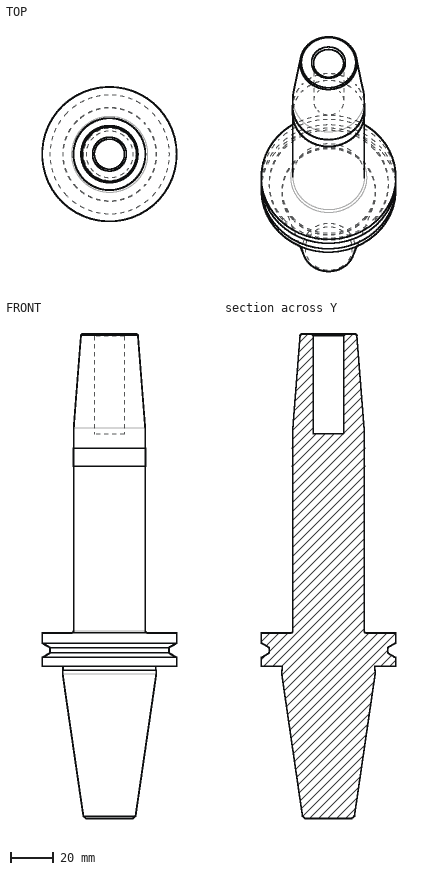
import cadquery as cq
import math

total_height = 228.5

shank_top_radius = 22.2
shank_length = 68.3
taper_on_radius = 7 / 48
shank_end_radius = shank_top_radius - shank_length * taper_on_radius
shank_end_chamfer = 1.1

neck_bottom = 70.0
neck_radius = 22.0

flange_radius = 31.7
flange_bottom = 71.7
flange_height = 15.8
flange_top = flange_bottom + flange_height
groove_root_radius = 28.0
groove_root_width = 2.5
groove_center = 79.3
groove_flank_angle = 30
groove_flank_rise = (flange_radius - groove_root_radius) * math.tan(math.radians(groove_flank_angle))
groove_root_bottom = groove_center - groove_root_width / 2
groove_root_top = groove_center + groove_root_width / 2

body_radius = 17.0
body_fillet = 1.03
body_top = 184.0
nose_radius = 13.5
nose_chamfer = 0.7

band_bottom = 166.0
band_top = 174.5
band_height = 0.11
band_radius = body_radius + band_height

bore_radius = 7.0
bore_depth = 47.0
bore_chamfer = 1.0


def make_holder():
    """Revolve the outer half profile around Z."""
    profile = (
        cq.Workplane("XZ")
        .lineTo(shank_end_radius - shank_end_chamfer, 0)
        .lineTo(shank_end_radius + shank_end_chamfer * taper_on_radius, shank_end_chamfer)
        .lineTo(shank_top_radius, shank_length)
        .lineTo(shank_top_radius, neck_bottom)
        .lineTo(neck_radius, neck_bottom)
        .lineTo(neck_radius, flange_bottom)
        .lineTo(flange_radius, flange_bottom)
        .lineTo(flange_radius, groove_root_bottom - groove_flank_rise)
        .lineTo(groove_root_radius, groove_root_bottom)
        .lineTo(groove_root_radius, groove_root_top)
        .lineTo(flange_radius, groove_root_top + groove_flank_rise)
        .lineTo(flange_radius, flange_top)
        .lineTo(body_radius + body_fillet, flange_top)
        .radiusArc((body_radius, flange_top + body_fillet), body_fillet)
        .lineTo(body_radius, band_bottom)
        .lineTo(band_radius, band_bottom)
        .lineTo(band_radius, band_top)
        .lineTo(body_radius, band_top)
        .lineTo(body_radius, body_top)
        .lineTo(nose_radius, total_height - nose_chamfer)
        .lineTo(nose_radius - nose_chamfer, total_height)
        .lineTo(0, total_height)
        .close()
    )
    return profile.revolve(360, (0, 0, 0), (0, 1, 0))


def make_bore():
    """Solid of the blind bore with its chamfered mouth."""
    bore_profile = (
        cq.Workplane("XZ")
        .moveTo(0, total_height - bore_depth)
        .lineTo(bore_radius, total_height - bore_depth)
        .lineTo(bore_radius, total_height - bore_chamfer)
        .lineTo(bore_radius + bore_chamfer, total_height)
        .lineTo(0, total_height)
        .close()
    )
    return bore_profile.revolve(360, (0, 0, 0), (0, 1, 0))


result = make_holder().cut(make_bore())